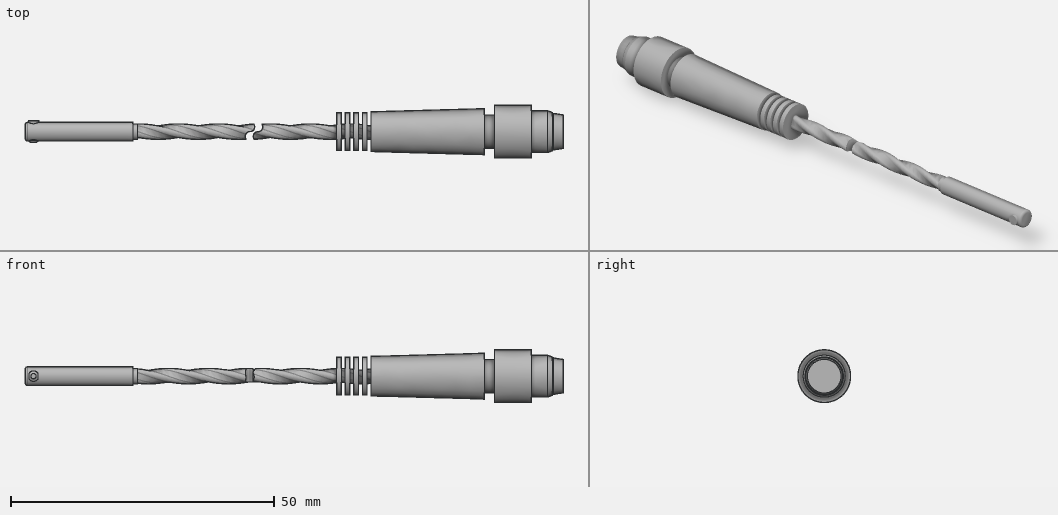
import cadquery as cq
import math

total_length = 102.31
probe_length = 20.5
probe_diameter = 3.6
tip_fillet = 0.5
collar_length = 0.9
pin_position = 1.6
pin_diameter = 2.0
pin_tip_diameter = 1.0
pin_reach = 2.1
pin_bevel_height = 0.4

lobe_count = 3
cable_diameter = 3.0
cable_radius = cable_diameter / 2
lobe_radius = 0.75
twist_pitch = 22.9
lobe_spacing = 360 / lobe_count
probe_flat_x = 23.4
plug_flat_x = 48.5

break_x = 42.75
break_gap = 1.5
break_arc_radius = 0.9

ring_count = 4
ring_start = 59.2
ring_pitch = 1.63
ring_thickness = 0.92
ring_diameter = 7.2
grip_start = ring_start + ring_count * ring_pitch
grip_end = 87.3
grip_small_diameter = 7.6
grip_large_diameter = 8.8
neck_diameter = 6.4
nut_start = 89.2
nut_end = 96.2
nut_diameter = 10.07
shell_end = 99.3
shell_diameter = 8.0
bevel_end = 100.2
bevel_diameter = 7.3
groove_end = 100.4
groove_diameter = 5.8
mouth_base_diameter = 7.0
mouth_end_diameter = 6.4


def cylinder(start, end, diameter):
    """A cylinder on the X axis between two X positions."""
    return cq.Workplane("YZ", origin=(start, 0, 0)).circle(diameter / 2).extrude(end - start)


def polar(radius, angle):
    """The Y, Z point at a radius and an angle in degrees from +Y toward +Z."""
    return (radius * math.cos(math.radians(angle)), radius * math.sin(math.radians(angle)))


def twisted_cable(start, end, flat_x):
    """A rounded triangle twisted along X, with one of its flats facing +Z at X = flat_x."""
    first_lobe = 90 - lobe_spacing / 2 + 360 * (start - flat_x) / twist_pitch
    lobe_offset = cable_radius - lobe_radius
    half_spacing = math.radians(lobe_spacing / 2)
    edge_y = lobe_offset + lobe_radius * math.cos(half_spacing)
    edge_z = lobe_radius * math.sin(half_spacing)
    edge_radius = math.hypot(edge_y, edge_z)
    edge_angle = math.degrees(math.atan2(edge_z, edge_y))

    outline = cq.Workplane("YZ", origin=(start, 0, 0))
    outline = outline.moveTo(*polar(edge_radius, first_lobe - edge_angle))
    for i in range(lobe_count):
        lobe = first_lobe + i * lobe_spacing
        lobe_end = polar(edge_radius, lobe + edge_angle)
        outline = outline.threePointArc(polar(cable_radius, lobe), lobe_end)
        if i < lobe_count - 1:
            outline = outline.lineTo(*polar(edge_radius, lobe + lobe_spacing - edge_angle))
    length = end - start
    return outline.close().twistExtrude(length, 360 * length / twist_pitch)


def s_faced_block(face_x, far_x):
    """A block that reaches from far_x to an upright S-shaped face centred on face_x."""
    r = break_arc_radius
    return (
        cq.Workplane("XY", origin=(0, 0, -cable_diameter))
        .moveTo(far_x, -2 * r)
        .lineTo(face_x, -2 * r)
        .threePointArc((face_x - r, -r), (face_x, 0))
        .threePointArc((face_x + r, r), (face_x, 2 * r))
        .lineTo(far_x, 2 * r)
        .close()
        .extrude(2 * cable_diameter)
    )


def cross_pin():
    """A pin along Y through the probe tip, bevelled at its -Y end."""
    bevel_width = (pin_diameter - pin_tip_diameter) / 2
    pin = (
        cq.Workplane("XZ", origin=(pin_position, pin_reach, 0))
        .circle(pin_diameter / 2)
        .extrude(2 * pin_reach)
    )
    return pin.faces("<Y").chamfer(pin_bevel_height, bevel_width)


def make_probe():
    """The sleeve with its cross pin, collar and the cable up to the break."""
    sleeve = cylinder(0, probe_length, probe_diameter).faces("<X").fillet(tip_fillet)
    collar_end = probe_length + collar_length
    collar = cylinder(probe_length, collar_end, cable_diameter)
    cable = twisted_cable(collar_end, break_x + break_arc_radius, probe_flat_x)
    cable = cable.intersect(s_faced_block(break_x, probe_length))
    return sleeve.union(cross_pin()).union(collar).union(cable)


def plug_body():
    """The tapered grip, neck, nut and grooved shell as one turned shape."""
    return (
        cq.Workplane("XY")
        .moveTo(grip_start, 0)
        .lineTo(grip_start, grip_small_diameter / 2)
        .lineTo(grip_end, grip_large_diameter / 2)
        .lineTo(grip_end, neck_diameter / 2)
        .lineTo(nut_start, neck_diameter / 2)
        .lineTo(nut_start, nut_diameter / 2)
        .lineTo(nut_end, nut_diameter / 2)
        .lineTo(nut_end, shell_diameter / 2)
        .lineTo(shell_end, shell_diameter / 2)
        .lineTo(bevel_end, bevel_diameter / 2)
        .lineTo(bevel_end, groove_diameter / 2)
        .lineTo(groove_end, groove_diameter / 2)
        .lineTo(groove_end, mouth_base_diameter / 2)
        .lineTo(total_length, mouth_end_diameter / 2)
        .lineTo(total_length, 0)
        .close()
        .revolve(360, (0, 0, 0), (1, 0, 0))
    )


def make_plug():
    """The cable past the break, the strain relief rings and the connector body."""
    cable_start = break_x + break_gap - break_arc_radius
    cable = twisted_cable(cable_start, grip_start, plug_flat_x)
    plug = cable.intersect(s_faced_block(break_x + break_gap, grip_end))
    for i in range(ring_count):
        x = ring_start + i * ring_pitch
        plug = plug.union(cylinder(x, x + ring_thickness, ring_diameter))
    return plug.union(plug_body())


probe = make_probe()
plug = make_plug()
result = cq.Compound.makeCompound([probe.val(), plug.val()])